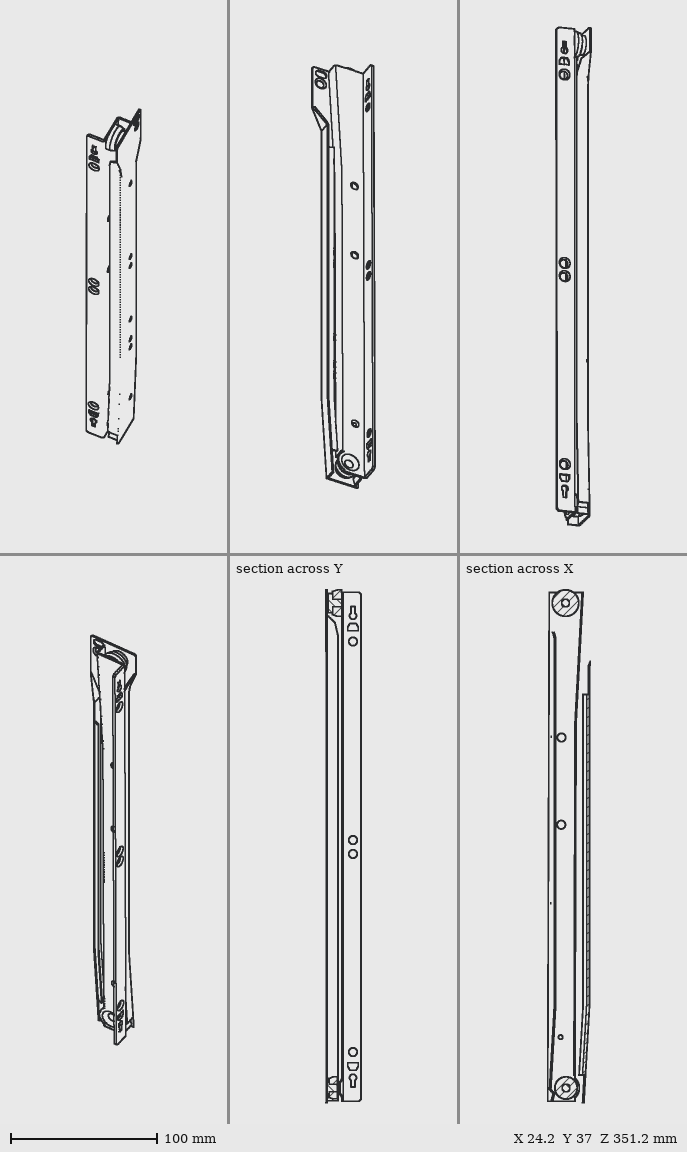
import cadquery as cq
import math

LENGTH = 351.2
WIDTH = 24.2
CABINET_SHEET = 1.0
DRAWER_SHEET = 1.0

BACK_FACE = WIDTH
BACK_INSIDE = WIDTH - CABINET_SHEET
FLANGE_TIP = 15.8
LOWER_Y = 5.3
UPPER_Y = 29.5
FRONT_DROP = 4.0
FRONT_BEND_Z = 66.7
EAR_Y = 37.0
CABINET_BEND_RADIUS = 1.5
EAR_START_Z = 298.5
EAR_FULL_Z = 316.0
EAR_CORNER = 1.0
FLARE_START_Z = 319.5
FLARE_END_Z = 333.5
LIP_DROP = 3.5
LIP_LEAN = 1.5
LIP_START_Z = 19.0
LIP_END_Z = 279.5
FLARE_BEND = 2.0
FLARE_BEND_DROP = 0.5
FLARE_KNEE_X = 18.0
FLARE_KNEE_Z = 328.7
STOP_START_Z = 9.0
STOP_PEAK_Z = 6.3
STOP_PEAK_Y = 4.5
STOP_END_Z = 1.5
STOP_END_Y = 3.0
EAR_HOLE_Y = 30.5
EAR_HOLE_Z = 338.5
EAR_HOLE_RADIUS = 2.8
EAR_RIM_RADIUS = 4.2
EAR_SLOT_Y = 30.2
EAR_SLOT_Z = 346.5
EAR_SLOT_LENGTH = 8.5
EAR_SLOT_HEIGHT = 5.3
BACK_HOLE_Y = 20.7
BACK_HOLE_RADIUS = 1.8
BACK_RIM_RADIUS = 2.8
BACK_HOLE_Z = [283.5, 197.0, 186.5, 123.3, 100.0, 90.5, 31.5]

DRAWER_START = 1.0
DRAWER_END = 349.5
DRAWER_BOTTOM = 1.8
FLANGE_THICKNESS = 1.8
WEB_OUTSIDE = 12.3
WEB_INSIDE = WEB_OUTSIDE + DRAWER_SHEET
BEND_RADIUS = 1.8
TOP_BEND_RADIUS = 1.8
FLANGE_CORNER = 1.5
TOP_Y = 20.7
TOP_REAR_Y = 25.3
TOP_RISE_Z = 260.0
TOP_START_Z = 19.0
TOP_TIP = 21.8
DRAWER_SAG = 1.0
TILT = -math.degrees(math.asin(DRAWER_SAG / LENGTH))

HOLE_X = 5.5
SCREW_RADIUS = 2.8
SCREW_RIM_RADIUS = 4.0
END_SCREW_Z = 34.8
MIDDLE_SCREW_Z = [170.5, 179.8]
MOON_FLAT_Z = 27.5
MOON_WIDTH = 7.0
MOON_FLAT_WIDTH = 4.2
MOON_HEIGHT = 5.0
KEY_SLOT_END_Z = 11.0
KEY_CIRCLE_Z = 17.2
KEY_SLOT_WIDTH = 2.5
KEY_RADIUS = 2.3

WEB_HOLE_Y = 10.5
WEB_HOLE_RADIUS = 2.8
WEB_HOLE_Z = [250.0, 190.5]
RIVET_HOLE_Z = 45.0
RIVET_HOLE_RADIUS = 1.5
DIMPLE_Y = 14.5
DIMPLE_Z = 10.2
DIMPLE_PAD_RADIUS = 9.0
DIMPLE_RADIUS = 6.5
DIMPLE_TIP_RADIUS = 3.0
DIMPLE_TIP_X = 15.5

ROLLER_RIM = 3.0
ROLLER_TAPER = 1.0
AXLE_RADIUS = 2.5
REAR_ROLLER_Y = 13.0
REAR_ROLLER_RADIUS = 9.0
REAR_ROLLER_Z = LENGTH - REAR_ROLLER_RADIUS
REAR_ROLLER_START = 13.5
REAR_ROLLER_END = 19.5
REAR_HEAD_RADIUS = 6.5
REAR_HEAD_END = 23.0
FRONT_ROLLER_Y = 13.5
FRONT_ROLLER_Z = 10.2
FRONT_ROLLER_RADIUS = 7.7
FRONT_ROLLER_START = 16.0
FRONT_ROLLER_END = 22.0
FRONT_COLLAR_RADIUS = 4.2


def side_plate(points, x_start, x_end):
    """Outline given as (Y, Z) points, extruded along X."""
    return cq.Workplane("YZ", origin=(x_start, 0, 0)).polyline(points).close().extrude(x_end - x_start)


def strip(path, thickness, x_start, x_end):
    """Sheet that follows a (Y, Z) path, thickened along +Y and extruded along X."""
    far_side = [(y + thickness, z) for y, z in reversed(path)]
    return side_plate(path + far_side, x_start, x_end)


def x_cylinder(radius, y, z, x_start, x_end):
    return cq.Workplane("YZ", origin=(x_start, y, z)).circle(radius).extrude(x_end - x_start)


def x_cone(start_radius, end_radius, y, z, x_start, x_end):
    height = x_end - x_start
    axis = cq.Vector(1, 0, 0)
    return cq.Workplane(
        cq.Solid.makeCone(start_radius, end_radius, height, cq.Vector(x_start, y, z), axis)
    )


def mirrored_z(z):
    """Place on the drawer rail opposite Z about the middle of its length."""
    return DRAWER_START + DRAWER_END - z


def lean(body):
    """Tip a body that belongs to the drawer rail about the rear end of the slide."""
    return body.rotate((0, 0, LENGTH), (1, 0, LENGTH), TILT)


def back_plate():
    outline = [
        (LOWER_Y - FRONT_DROP, 0),
        (LOWER_Y, FRONT_BEND_Z),
        (LOWER_Y, FLARE_START_Z),
        (0, FLARE_END_Z),
        (0, LENGTH - EAR_CORNER),
        (EAR_CORNER, LENGTH),
        (EAR_Y - EAR_CORNER, LENGTH),
        (EAR_Y, LENGTH - EAR_CORNER),
        (EAR_Y, EAR_FULL_Z),
        (UPPER_Y, EAR_START_Z),
        (UPPER_Y, FRONT_BEND_Z),
        (UPPER_Y - FRONT_DROP, 0),
    ]
    return side_plate(outline, BACK_INSIDE, BACK_FACE)


def upper_flange():
    underside = [
        (UPPER_Y - FRONT_DROP - CABINET_SHEET, 0),
        (UPPER_Y - CABINET_SHEET, FRONT_BEND_Z),
        (UPPER_Y - CABINET_SHEET, EAR_START_Z),
        (EAR_Y - CABINET_SHEET, EAR_FULL_Z),
    ]
    flange = strip(underside, CABINET_SHEET, FLANGE_TIP, BACK_FACE)
    taper = (
        cq.Workplane("XY", origin=(0, 0, FRONT_BEND_Z))
        .polyline([(FLANGE_TIP, UPPER_Y), (BACK_INSIDE, EAR_Y), (FLANGE_TIP, EAR_Y)])
        .close()
        .extrude(LENGTH - FRONT_BEND_Z)
    )
    return flange.cut(taper)


def lip_section(z, top_y):
    """Cross-section of the lip: a leaning strip under the free edge of the upper flange."""
    corners = [
        (FLANGE_TIP, top_y),
        (FLANGE_TIP - LIP_LEAN, top_y - LIP_DROP),
        (FLANGE_TIP - LIP_LEAN + CABINET_SHEET, top_y - LIP_DROP),
        (FLANGE_TIP + CABINET_SHEET, top_y),
    ]
    return cq.Wire.makePolygon([cq.Vector(x, y, z) for x, y in corners], close=True)


def lip():
    top = UPPER_Y - CABINET_SHEET
    front_drop = FRONT_DROP * (FRONT_BEND_Z - LIP_START_Z) / FRONT_BEND_Z
    front = lip_section(LIP_START_Z, top - front_drop)
    bend = lip_section(FRONT_BEND_Z, top)
    end = lip_section(LIP_END_Z, top)
    sinking = cq.Workplane(cq.Solid.makeLoft([front, bend], True))
    straight = cq.Workplane(cq.Solid.makeLoft([bend, end], True))
    return sinking.union(straight)


def lower_flange():
    slope = FRONT_DROP / FRONT_BEND_Z
    underside = [
        (STOP_END_Y, STOP_END_Z),
        (STOP_PEAK_Y, STOP_PEAK_Z),
        (LOWER_Y - slope * (FRONT_BEND_Z - STOP_START_Z), STOP_START_Z),
        (LOWER_Y, FRONT_BEND_Z),
        (LOWER_Y, FLARE_START_Z - FLARE_BEND),
        (LOWER_Y - FLARE_BEND_DROP, FLARE_START_Z),
        (0, FLARE_END_Z),
    ]
    flange = strip(underside, CABINET_SHEET, FLANGE_TIP, BACK_FACE)
    taper = (
        cq.Workplane("XZ")
        .moveTo(FLANGE_TIP, FLARE_START_Z)
        .lineTo(FLARE_KNEE_X, FLARE_KNEE_Z)
        .lineTo(BACK_INSIDE, FLARE_END_Z)
        .lineTo(FLANGE_TIP, FLARE_END_Z)
        .close()
        .extrude(-UPPER_Y)
    )
    return flange.cut(taper)


def cabinet_holes():
    slot = (
        cq.Workplane("YZ", origin=(BACK_INSIDE, EAR_SLOT_Y, EAR_SLOT_Z))
        .slot2D(EAR_SLOT_LENGTH, EAR_SLOT_HEIGHT)
        .extrude(CABINET_SHEET)
    )
    countersink = x_cone(EAR_RIM_RADIUS, EAR_HOLE_RADIUS, EAR_HOLE_Y, EAR_HOLE_Z, BACK_INSIDE, BACK_FACE)
    holes = slot.union(countersink)
    for z in BACK_HOLE_Z:
        holes = holes.union(x_cone(BACK_RIM_RADIUS, BACK_HOLE_RADIUS, BACK_HOLE_Y, z, BACK_INSIDE, BACK_FACE))
    return holes


def make_cabinet_rail():
    rail = back_plate().union(lower_flange())
    middle_z = (FRONT_BEND_Z + FLARE_START_Z) / 2
    bend = cq.selectors.NearestToPointSelector((BACK_FACE, LOWER_Y, middle_z))
    rail = rail.edges("|Z").edges(bend).fillet(CABINET_BEND_RADIUS)
    rail = rail.union(upper_flange()).union(lip())
    return rail.cut(cabinet_holes())


def bottom_flange():
    length = DRAWER_END - DRAWER_START
    flange = cq.Workplane("XY").box(WEB_INSIDE, FLANGE_THICKNESS, length, centered=False)
    return (
        flange.translate((0, DRAWER_BOTTOM, DRAWER_START))
        .edges("<X and |Y")
        .chamfer(FLANGE_CORNER)
    )


def web_and_top_flange():
    web = side_plate(
        [
            (DRAWER_BOTTOM, DRAWER_START),
            (DRAWER_BOTTOM, DRAWER_END),
            (TOP_REAR_Y, DRAWER_END),
            (TOP_Y, TOP_RISE_Z),
            (TOP_Y, DRAWER_START),
        ],
        WEB_OUTSIDE,
        WEB_INSIDE,
    )
    underside = [
        (TOP_Y - DRAWER_SHEET, TOP_START_Z),
        (TOP_Y - DRAWER_SHEET, TOP_RISE_Z),
        (TOP_REAR_Y - DRAWER_SHEET, DRAWER_END),
    ]
    channel = web.union(strip(underside, DRAWER_SHEET, WEB_OUTSIDE, TOP_TIP))
    top_bend = cq.selectors.BoxSelector(
        (WEB_OUTSIDE - DRAWER_SHEET, TOP_Y - DRAWER_SHEET, TOP_START_Z),
        (WEB_OUTSIDE + DRAWER_SHEET / 2, EAR_Y, DRAWER_END - DRAWER_SHEET),
    )
    return channel.edges(top_bend).edges("<X").fillet(TOP_BEND_RADIUS)


def flange_cutter(sketch):
    """Cut through the bottom flange from an XZ workplane sketch at Y = 0."""
    return sketch.extrude(-(DRAWER_BOTTOM + FLANGE_THICKNESS))


def screw_hole(z):
    return cq.Workplane(
        cq.Solid.makeCone(
            SCREW_RIM_RADIUS,
            SCREW_RADIUS,
            FLANGE_THICKNESS,
            cq.Vector(HOLE_X, DRAWER_BOTTOM, z),
            cq.Vector(0, 1, 0),
        )
    )


def end_holes(place):
    """Screw hole, half-moon and keyhole of one end; place maps a front Z to that end."""
    moon = flange_cutter(
        cq.Workplane("XZ")
        .moveTo(HOLE_X - MOON_WIDTH / 2, place(MOON_FLAT_Z))
        .lineTo(HOLE_X + MOON_WIDTH / 2, place(MOON_FLAT_Z))
        .lineTo(HOLE_X + MOON_WIDTH / 2, place(MOON_FLAT_Z - MOON_HEIGHT / 2))
        .lineTo(HOLE_X + MOON_FLAT_WIDTH / 2, place(MOON_FLAT_Z - MOON_HEIGHT))
        .lineTo(HOLE_X - MOON_FLAT_WIDTH / 2, place(MOON_FLAT_Z - MOON_HEIGHT))
        .lineTo(HOLE_X - MOON_WIDTH / 2, place(MOON_FLAT_Z - MOON_HEIGHT / 2))
        .close()
    )
    slot_centre = (KEY_SLOT_END_Z + KEY_CIRCLE_Z) / 2
    key_slot = flange_cutter(
        cq.Workplane("XZ")
        .center(HOLE_X, place(slot_centre))
        .rect(KEY_SLOT_WIDTH, KEY_CIRCLE_Z - KEY_SLOT_END_Z)
    )
    key_circle = flange_cutter(
        cq.Workplane("XZ").center(HOLE_X, place(KEY_CIRCLE_Z)).circle(KEY_RADIUS)
    )
    return screw_hole(place(END_SCREW_Z)).union(moon).union(key_slot).union(key_circle)


def add_dimple(rail):
    """Round pad at the front of the web, pressed inwards as a hollow cone with a flat tip."""
    pad = x_cylinder(DIMPLE_PAD_RADIUS, DIMPLE_Y, DIMPLE_Z, WEB_OUTSIDE, WEB_INSIDE)
    bulge = x_cone(DIMPLE_RADIUS, DIMPLE_TIP_RADIUS, DIMPLE_Y, DIMPLE_Z, WEB_INSIDE, DIMPLE_TIP_X)
    hollow = x_cone(
        DIMPLE_RADIUS,
        DIMPLE_TIP_RADIUS,
        DIMPLE_Y,
        DIMPLE_Z,
        WEB_OUTSIDE,
        DIMPLE_TIP_X - DRAWER_SHEET,
    )
    return rail.union(pad).union(bulge).cut(hollow)


def make_drawer_rail():
    rail = bottom_flange().union(web_and_top_flange())
    bend = cq.selectors.NearestToPointSelector((WEB_INSIDE, DRAWER_BOTTOM, LENGTH / 2))
    rail = rail.edges("|Z").edges(bend).fillet(BEND_RADIUS)
    rail = add_dimple(rail)
    rail = rail.cut(end_holes(lambda z: z)).cut(end_holes(mirrored_z))
    for z in MIDDLE_SCREW_Z:
        rail = rail.cut(screw_hole(z))
    for z in WEB_HOLE_Z:
        rail = rail.cut(x_cylinder(WEB_HOLE_RADIUS, WEB_HOLE_Y, z, WEB_OUTSIDE, WEB_INSIDE))
    rivet_hole = x_cone(
        WEB_HOLE_RADIUS, RIVET_HOLE_RADIUS, WEB_HOLE_Y, RIVET_HOLE_Z, WEB_OUTSIDE, WEB_INSIDE
    )
    return lean(rail.cut(rivet_hole))


def make_roller(radius, y, z, x_start, x_end):
    rim_end = x_start + ROLLER_RIM
    rim = x_cylinder(radius, y, z, x_start, rim_end)
    wheel = rim.union(x_cone(radius, radius - ROLLER_TAPER, y, z, rim_end, x_end))
    return wheel.cut(x_cylinder(AXLE_RADIUS, y, z, x_start, x_end))


def make_axle(y, z, x_start, head_start, head_end, head_radius):
    shaft = x_cylinder(AXLE_RADIUS, y, z, x_start, head_end)
    return shaft.union(x_cylinder(head_radius, y, z, head_start, head_end))


cabinet_rail = make_cabinet_rail()
drawer_rail = make_drawer_rail()
rear_roller = lean(
    make_roller(REAR_ROLLER_RADIUS, REAR_ROLLER_Y, REAR_ROLLER_Z, REAR_ROLLER_START, REAR_ROLLER_END)
)
rear_axle = lean(
    make_axle(REAR_ROLLER_Y, REAR_ROLLER_Z, WEB_INSIDE, REAR_ROLLER_END, REAR_HEAD_END, REAR_HEAD_RADIUS)
)
front_roller = make_roller(
    FRONT_ROLLER_RADIUS, FRONT_ROLLER_Y, FRONT_ROLLER_Z, FRONT_ROLLER_START, FRONT_ROLLER_END
)
front_axle = make_axle(
    FRONT_ROLLER_Y, FRONT_ROLLER_Z, FRONT_ROLLER_START, FRONT_ROLLER_END, BACK_INSIDE, FRONT_COLLAR_RADIUS
)

result = cq.Compound.makeCompound(
    [
        cabinet_rail.val(),
        drawer_rail.val(),
        rear_roller.val(),
        rear_axle.val(),
        front_roller.val(),
        front_axle.val(),
    ]
)